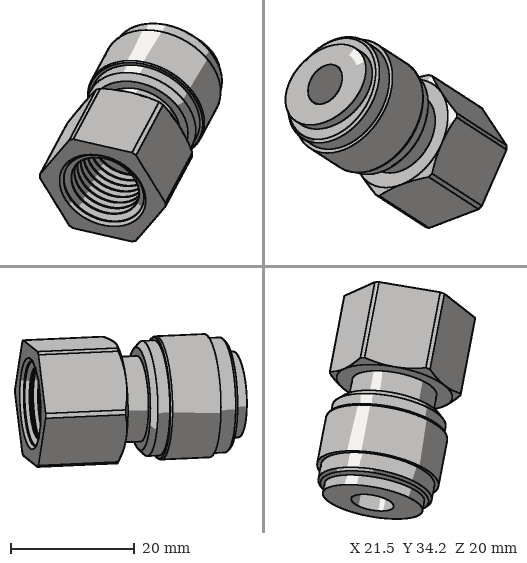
import cadquery as cq
import math


length = 34.2
hex_end = 14.0
neck_end = 18.0
collar_start = 20.95
collar_end = 29.3
body_end = 32.35
sleeve_edge = 34.05

hex_across_flats = 19.0
hex_corner_radius = 21.5 / 2
neck_radius = 6.95
body_radius = 9.35
collar_radius = 20.0 / 2
sleeve_half_width = 8.2
sleeve_half_height = 6.95
sleeve_rim_scale = 0.8

hex_bevel_angle = 30
body_front_bevel = 1.0
body_rear_bevel = 0.45
collar_bevel_length = 0.3
collar_bevel_depth = 0.17

bore_radius = 3.5
mouth_radius = 7.4
root_radius = 6.87
thread_pitch = 1.4
thread_height = 1.05
thread_taper = 1 / 32
crest_width = 0.2
root_width = 0.2
ridge_count = 8


def revolve_about_y(points):
    """Turn a closed (radius, y) outline around the Y axis."""
    return cq.Workplane("XY").polyline(points).close().revolve(360, (0, 0, 0), (0, 1, 0))


def make_hex():
    """Hex nut with turned corners and a bevel on the end next to the neck."""
    across_corners = hex_across_flats / math.cos(math.radians(30))
    prism = cq.Workplane("XZ").polygon(6, across_corners).extrude(-hex_end)
    flat_radius = hex_across_flats / 2
    bevel_length = (hex_corner_radius - flat_radius) * math.tan(math.radians(hex_bevel_angle))
    envelope = revolve_about_y([
        (0, 0),
        (hex_corner_radius, 0),
        (hex_corner_radius, hex_end - bevel_length),
        (flat_radius, hex_end),
        (0, hex_end),
    ])
    return prism.intersect(envelope)


def make_body():
    """Neck and body with its raised collar."""
    return revolve_about_y([
        (0, 0),
        (neck_radius, 0),
        (neck_radius, neck_end),
        (body_radius - body_front_bevel, neck_end),
        (body_radius, neck_end + body_front_bevel),
        (body_radius, collar_start),
        (collar_radius - collar_bevel_depth, collar_start),
        (collar_radius, collar_start + collar_bevel_length),
        (collar_radius, collar_end),
        (body_radius, collar_end),
        (body_radius, body_end - body_rear_bevel),
        (body_radius - body_rear_bevel, body_end),
        (0, body_end),
    ])


def make_sleeve():
    """Oval release sleeve, wider in X than in Z, with a shallow tapered rim."""
    barrel = (
        cq.Workplane("XZ", origin=(0, body_end, 0))
        .ellipse(sleeve_half_width, sleeve_half_height)
        .extrude(body_end - sleeve_edge)
    )
    rim = (
        cq.Workplane("XZ", origin=(0, sleeve_edge, 0))
        .ellipse(sleeve_half_width, sleeve_half_height)
        .workplane(offset=sleeve_edge - length)
        .ellipse(sleeve_half_width * sleeve_rim_scale, sleeve_half_height * sleeve_rim_scale)
        .loft(ruled=True)
    )
    return barrel.union(rim)


def make_thread_cut():
    """Bevelled mouth followed by ridges whose radii shrink with depth."""
    mouth_depth = mouth_radius - root_radius
    flank_length = (thread_pitch - crest_width - root_width) / 2
    radius_step = thread_taper * thread_pitch
    points = [(0, 0), (mouth_radius, 0), (root_radius, mouth_depth)]
    for ridge in range(ridge_count):
        start = mouth_depth + ridge * thread_pitch + root_width
        root = root_radius - ridge * radius_step
        crest = root - thread_height
        next_root = root - radius_step
        points.append((root, start))
        points.append((crest, start + flank_length))
        points.append((crest, start + flank_length + crest_width))
        points.append((next_root, start + thread_pitch - root_width))
    points.append((0, mouth_depth + ridge_count * thread_pitch))
    return revolve_about_y(points)


def make_bore():
    """Plain bore running the full length."""
    return cq.Workplane("XZ").circle(bore_radius).extrude(-length)


outside = make_hex().union(make_body()).union(make_sleeve())
result = outside.cut(make_thread_cut()).cut(make_bore())